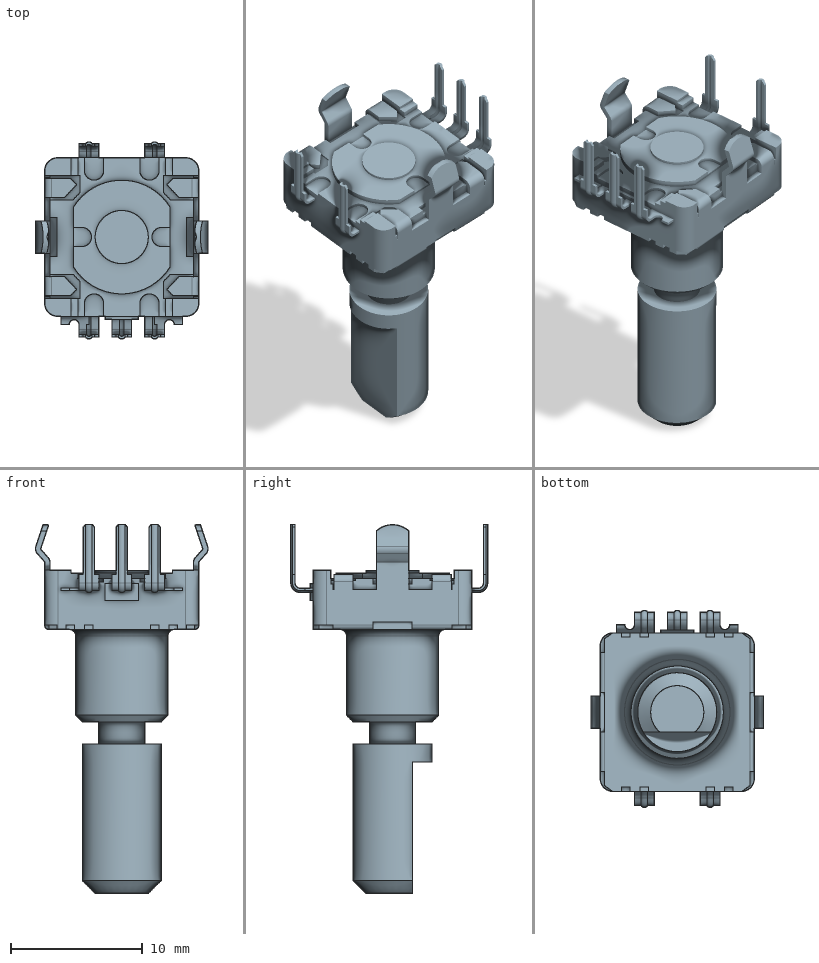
import cadquery as cq
import math


overall_height = 28

body_x = 11.7
body_y = 12.05
half_x = body_x / 2
half_y = body_y / 2
body_corner_radius = 1.0
tower_top = 4.5
step_top = 4.28
floor_top = 3.85
pocket_floor = 3.72
tower_inner_x = 3.85
step_inner_x = 3.33
tower_inner_y = 4.68
pocket_inner_x = 3.15
pocket_inner_y = 2.83
pocket_chamfer = 0.53
clip_pocket_floor = 3.45
clip_pocket_depth = 0.5

base_thickness = 0.35
base_half_x = half_x - base_thickness
base_corner_x = 0.62
base_corner_y = 0.45
base_notch_width = 0.65
base_notch_centers = (2.52, 3.92)

shell_thickness = 0.42
shell_half_y = 4.5
shell_bend_radius = 0.53
wall_top = 3.02
window_half_y = 1.48
window_height = 0.55
tab_top = 4.17
tab_outer_y = 4.45
tab_inner_y = 3.0
tab_shoulder_x = 4.35
tab_tip_x = 3.42
tab_tip_y = 3.98

clip_width = 2.45
clip_bend_z = 5.2
clip_knee_x = 6.38
clip_knee_z = 6.05
clip_tip_x = 5.75
clip_bend_radius = 0.35
clip_shoulder_z = 7.48
clip_tip_z = 7.95

disc_radius = 4.3
disc_half_x = 3.67
disc_top = 4.28
hub_radius = 2.02
hub_top = 4.48
notch_radius = 0.73
notch_depth = 0.25
disc_notch_end_x = 2.3
floor_notch_x = 2.1
floor_notch_end_y = 4.3

lead_pitch = 2.5
lead_top = 7.98
lead_bottom = 2.95
lead_thickness = 0.2
lead_embed = 0.15
lead_bend_radius = 0.6
lead_root_width = 1.5
lead_root_top = 4.17
lead_blade_width = 0.87
lead_tip_width = 0.5
lead_tip_bevel = 0.22
bead_width = 0.5
bead_height = 0.15
groove_width = 0.35
front_lead_y = 7.6
rear_lead_y = 7.08
flange_half_x = 4.62
flange_reach = 0.62
flange_notch_radius = 0.35

boss_width = 2.52
boss_bottom = 2.18
boss_top = 3.47
boss_reach = 0.22

bushing_radius = 3.5
bushing_bottom = -7.0
bushing_chamfer = 0.5
bushing_root_fillet = 0.5
neck_radius = 1.75
shaft_radius = 3.0
shaft_top = -8.68
shaft_bottom = lead_top - overall_height
shaft_chamfer = 0.98
flat_y = 1.5
flat_top = -10.05

SIDES = (-1, 1)


def block(x0, x1, y0, y1, z0, z1):
    """Box between opposite corners given in any order."""
    size = (abs(x1 - x0), abs(y1 - y0), abs(z1 - z0))
    center = ((x0 + x1) / 2, (y0 + y1) / 2, (z0 + z1) / 2)
    return cq.Workplane("XY").box(*size).translate(center)


def four_corners(shape):
    """The shape in the +X +Y quarter and its three mirror images."""
    pair = shape.union(shape.mirror("YZ"))
    return pair.union(pair.mirror("XZ"))


def round_end_cutter(length, bottom):
    """Slot cutter along +X whose round end touches the origin."""
    straight = block(notch_radius, length, -notch_radius, notch_radius, bottom, tower_top)
    end = cq.Workplane("XY").workplane(offset=bottom).center(notch_radius, 0)
    return straight.union(end.circle(notch_radius).extrude(tower_top - bottom))


def make_housing():
    """Moulded block with stepped corner towers and pockets for the shell tabs."""
    housing = (
        cq.Workplane("XY").box(body_x, body_y, tower_top, centered=(True, True, False))
        .edges("|Z").fillet(body_corner_radius)
    )
    housing = housing.cut(block(-tower_inner_x, tower_inner_x, -half_y, half_y, step_top, tower_top))
    housing = housing.cut(block(-step_inner_x, step_inner_x, -half_y, half_y, floor_top, tower_top))
    housing = housing.cut(block(-half_x, half_x, -tower_inner_y, tower_inner_y, floor_top, tower_top))

    inner_x = half_x - shell_thickness
    pocket_x = inner_x - clip_pocket_depth
    for side in SIDES:
        housing = housing.cut(block(side * inner_x, side * half_x, -tower_inner_y, tower_inner_y,
                                    wall_top, tower_top))
        housing = housing.cut(block(side * inner_x, side * pocket_x, -window_half_y, window_half_y,
                                    clip_pocket_floor, floor_top))

    pocket = (
        cq.Workplane("XY").workplane(offset=pocket_floor)
        .moveTo(half_x, tower_inner_y)
        .lineTo(pocket_inner_x, tower_inner_y)
        .lineTo(pocket_inner_x, pocket_inner_y + pocket_chamfer)
        .lineTo(pocket_inner_x + pocket_chamfer, pocket_inner_y)
        .lineTo(half_x, pocket_inner_y)
        .close().extrude(tower_top - pocket_floor)
    )
    housing = housing.cut(four_corners(pocket))

    shoulder = block(inner_x, half_x, shell_half_y, tower_inner_y, wall_top, clip_pocket_floor)
    housing = housing.union(four_corners(shoulder))

    notch = round_end_cutter(half_y - floor_notch_end_y, floor_top - notch_depth)
    for x in (-floor_notch_x, floor_notch_x):
        for turn in (90, -90):
            y = floor_notch_end_y * turn / 90
            placed = notch.rotate((0, 0, 0), (0, 0, 1), turn).translate((x, y, 0))
            housing = housing.cut(placed)
    return housing


def trim_base(body):
    """Narrow the bottom layer to the base plate, with edge notches and side windows."""
    layer = block(-half_x, half_x, -half_y, half_y, 0, base_thickness)
    plate = (
        cq.Workplane("XY")
        .moveTo(base_half_x, half_y - base_corner_y)
        .lineTo(base_half_x - base_corner_x, half_y)
        .lineTo(0, half_y)
        .lineTo(0, 0)
        .lineTo(base_half_x, 0)
        .close().extrude(base_thickness)
    )
    body = body.cut(layer.cut(four_corners(plate)))
    for x in base_notch_centers:
        notch = block(x - base_notch_width / 2, x + base_notch_width / 2,
                      half_y - base_thickness, half_y, 0, base_thickness)
        body = body.cut(four_corners(notch))

    for side in SIDES:
        bend = block(0, side * half_x, -shell_half_y, shell_half_y, 0, 2 * base_thickness)
        bend = bend.edges("|Y and <Z").edges(">X" if side > 0 else "<X").fillet(base_thickness)
        body = body.union(bend)
        body = body.cut(block(side * base_half_x, side * half_x, -window_half_y, window_half_y,
                              0, window_height))
    return body


def make_tab():
    """Shell tab bent inward over the housing, with a slanted tip."""
    profile = block(pocket_inner_x, half_x, tab_inner_y, shell_half_y, wall_top, tab_top)
    profile = profile.edges("|Y and >X and >Z").fillet(shell_bend_radius)
    inside = block(pocket_inner_x, half_x - shell_thickness, tab_inner_y, shell_half_y,
                   wall_top, tab_top - shell_thickness)
    outline = (
        cq.Workplane("XY").workplane(offset=wall_top)
        .moveTo(half_x, tab_inner_y)
        .lineTo(tab_shoulder_x, tab_inner_y)
        .lineTo(tab_tip_x, tab_tip_y)
        .lineTo(tab_tip_x + tab_outer_y - tab_tip_y, tab_outer_y)
        .lineTo(half_x, tab_outer_y)
        .close().extrude(tab_top - wall_top)
    )
    return profile.cut(inside).intersect(outline)


def make_clip():
    """Spring clip rising from the +X wall: out to a knee, then back in to a domed tip."""
    half_width = clip_width / 2
    root_x = half_x - shell_thickness / 2
    centerline = (
        cq.Workplane("XZ")
        .moveTo(root_x, wall_top)
        .lineTo(root_x, clip_bend_z)
        .lineTo(clip_knee_x, clip_knee_z)
        .lineTo(clip_tip_x, lead_top)
        .wire().val().fillet(clip_bend_radius)
    )
    section = cq.Workplane("XY").workplane(offset=wall_top).center(root_x, 0)
    strip = section.rect(shell_thickness, clip_width).sweep(cq.Workplane(centerline))
    dome = (
        cq.Workplane("YZ")
        .moveTo(-half_width, wall_top)
        .lineTo(-half_width, clip_shoulder_z)
        .threePointArc((0, clip_tip_z), (half_width, clip_shoulder_z))
        .lineTo(half_width, wall_top)
        .close().extrude(clip_knee_x + shell_thickness)
    )
    return strip.intersect(dome)


def make_disc():
    """Flat-sided disc with a central hub and a round-ended notch at each flat."""
    height = disc_top - pocket_floor
    disc = cq.Workplane("XY").workplane(offset=pocket_floor).circle(disc_radius).extrude(height)
    disc = disc.intersect(block(-disc_half_x, disc_half_x, -half_y, half_y, 0, disc_top))
    notch = round_end_cutter(disc_radius, disc_top - notch_depth).translate((disc_notch_end_x, 0, 0))
    disc = disc.cut(notch).cut(notch.mirror("YZ"))
    hub = cq.Workplane("XY").workplane(offset=pocket_floor).circle(hub_radius)
    return disc.union(hub.extrude(hub_top - pocket_floor))


def beaded_strip(outer_y, top, width):
    """Strip leaving the body along +Y and bending up to +Z, with a rounded bead on its outside."""
    root_y = half_y - lead_embed
    inside = lead_bottom + lead_thickness
    bend_y = outer_y - lead_bend_radius
    bend_z = lead_bottom + lead_bend_radius
    bend_offset = lead_bend_radius * math.sqrt(0.5)
    path = (
        cq.Workplane("YZ")
        .moveTo(root_y, lead_bottom)
        .lineTo(bend_y, lead_bottom)
        .threePointArc((bend_y + bend_offset, bend_z - bend_offset), (outer_y, bend_z))
        .lineTo(outer_y, top)
    )
    section = (
        cq.Workplane("XZ", origin=(0, root_y, 0))
        .moveTo(-width / 2, lead_bottom)
        .lineTo(-bead_width / 2, lead_bottom)
        .threePointArc((0, lead_bottom - bead_height), (bead_width / 2, lead_bottom))
        .lineTo(width / 2, lead_bottom)
        .lineTo(width / 2, inside)
        .lineTo(groove_width / 2, inside)
        .threePointArc((0, inside - bead_height), (-groove_width / 2, inside))
        .lineTo(-width / 2, inside)
        .close()
    )
    return section.sweep(path)


def make_lead(outer_y):
    """Beaded lead on the +Y side with a wide root and a bevelled tip."""
    root = beaded_strip(outer_y, lead_root_top, lead_root_width)
    lead = root.union(beaded_strip(outer_y, lead_top, lead_blade_width))
    bevel = (
        cq.Workplane("XZ")
        .moveTo(lead_tip_width / 2, lead_top)
        .lineTo(lead_blade_width / 2, lead_top)
        .lineTo(lead_blade_width / 2, lead_top - lead_tip_bevel)
        .close().extrude(-outer_y - bead_height)
    )
    return lead.cut(bevel).cut(bevel.mirror("YZ"))


def make_flange(side):
    """Side flange of an outer front lead, with a half-round notch next to the lead."""
    root_edge = lead_pitch + lead_root_width / 2
    flange_y = -half_y - flange_reach
    top = lead_bottom + lead_thickness
    flange = block(side * lead_pitch, side * flange_half_x, -half_y, flange_y, lead_bottom, top)
    notch = (
        cq.Workplane("XY").workplane(offset=lead_bottom)
        .center(side * (root_edge + flange_notch_radius), flange_y)
        .circle(flange_notch_radius).extrude(lead_thickness)
    )
    return flange.cut(notch)


def make_bushing_and_shaft():
    """Turned bushing, neck and D-shaped shaft."""
    flare_radius = bushing_radius + bushing_root_fillet
    arc_drop = bushing_root_fillet * (1 - math.sqrt(0.5))
    turned = (
        cq.Workplane("XZ")
        .moveTo(0, base_thickness)
        .lineTo(flare_radius, base_thickness)
        .lineTo(flare_radius, 0)
        .threePointArc((bushing_radius + arc_drop, -arc_drop), (bushing_radius, -bushing_root_fillet))
        .lineTo(bushing_radius, bushing_bottom + bushing_chamfer)
        .lineTo(bushing_radius - bushing_chamfer, bushing_bottom)
        .lineTo(neck_radius, bushing_bottom)
        .lineTo(neck_radius, shaft_top)
        .lineTo(shaft_radius, shaft_top)
        .lineTo(shaft_radius, shaft_bottom + shaft_chamfer)
        .lineTo(shaft_radius - shaft_chamfer, shaft_bottom)
        .lineTo(0, shaft_bottom)
        .close().revolve(360, (0, 0, 0), (0, 1, 0))
    )
    return turned.cut(block(-shaft_radius, shaft_radius, flat_y, shaft_radius, flat_top, shaft_bottom))


result = trim_base(make_housing())
result = result.union(make_disc())
result = result.union(four_corners(make_tab()))

clip = make_clip()
result = result.union(clip).union(clip.mirror("YZ"))

front_lead = make_lead(front_lead_y).mirror("XZ")
for x in (-lead_pitch, 0, lead_pitch):
    result = result.union(front_lead.translate((x, 0, 0)))

rear_lead = make_lead(rear_lead_y)
for side in SIDES:
    result = result.union(rear_lead.translate((side * lead_pitch, 0, 0)))
    result = result.union(make_flange(side))

result = result.union(block(-boss_width / 2, boss_width / 2, -half_y - boss_reach, -half_y,
                            boss_bottom, boss_top))
result = result.union(make_bushing_and_shaft())